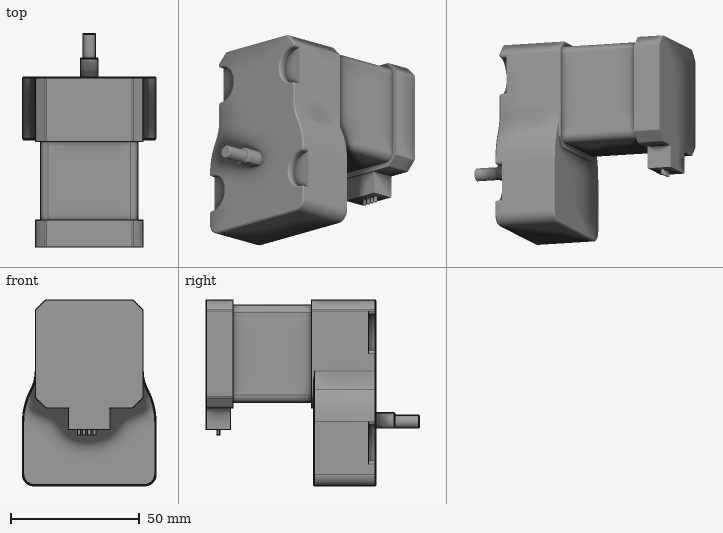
import cadquery as cq
import math


flange_size = 42.0
flange_corner_chamfer = 4.0
flange_corner_radius = 1.0
flange_depth = 25.2
body_size = 38.0
body_corner_radius = 3.0
body_length = 30.5
cap_depth = 10.5

shaft_z = -26.4
housing_radius = 26.0
shaft_to_bottom = 25.0
housing_corner_radius = 4.5
neck_radius = 15.0
housing_depth = 24.5
housing_chamfer = 0.5

recess_radius = 7.1
recess_mouth_radius = 1.0
recess_depth = 3.0
recess_upper_z = 8.3
recess_spacing = 43.0

shoulder_diameter = 7.0
shoulder_length = 7.3
shaft_diameter = 5.0
shaft_length = 9.5
shaft_chamfer = 0.3

connector_width = 16.0
connector_depth = 9.5
connector_height = 8.5
pin_diameter = 1.2
pin_length = 2.0
pin_pitch = 2.0
pin_count = 4
first_pin_x = -4.0

flange_half = flange_size / 2
housing_bottom_z = shaft_z - shaft_to_bottom
cap_front_y = -flange_depth - body_length
cap_rear_y = cap_front_y - cap_depth


def plane_at(y):
    """Plane at the given Y with local axes X and Z, extruding towards -Y."""
    return cq.Workplane("XZ", origin=(0, y, 0))


def motor_plate(front_y, depth):
    """Square plate with chamfered corners whose edges are softened."""
    plate = plane_at(front_y).rect(flange_size, flange_size).extrude(depth)
    plate = plate.edges("|Y").chamfer(flange_corner_chamfer)
    return plate.edges("|Y").fillet(flange_corner_radius)


def motor_body():
    body = plane_at(-flange_depth).rect(body_size, body_size).extrude(body_length)
    return body.edges("|Y").fillet(body_corner_radius)


def arc_point(center, radius, angle):
    return (center[0] + radius * math.cos(angle), center[1] + radius * math.sin(angle))


def mirrored(point):
    return (-point[0], point[1])


def gear_housing():
    """Rounded housing that necks in to the flange width through tangent arcs."""
    neck_x = flange_half + neck_radius
    center_distance = housing_radius + neck_radius
    neck_angle = math.acos(neck_x / center_distance)
    shaft_center = (0, shaft_z)
    neck_center = (neck_x, shaft_z + center_distance * math.sin(neck_angle))

    neck_top = (flange_half, neck_center[1])
    neck_mid = arc_point(neck_center, neck_radius, math.pi + neck_angle / 2)
    tangent = arc_point(shaft_center, housing_radius, neck_angle)
    shoulder_mid = arc_point(shaft_center, housing_radius, neck_angle / 2)
    side_top = (housing_radius, shaft_z)
    bottom_corner = (housing_radius, housing_bottom_z)

    housing = (
        plane_at(0)
        .moveTo(*neck_top)
        .threePointArc(neck_mid, tangent)
        .threePointArc(shoulder_mid, side_top)
        .lineTo(*bottom_corner)
        .lineTo(*mirrored(bottom_corner))
        .lineTo(*mirrored(side_top))
        .threePointArc(mirrored(shoulder_mid), mirrored(tangent))
        .threePointArc(mirrored(neck_mid), mirrored(neck_top))
        .close()
        .extrude(housing_depth)
    )
    bottom_edges = housing.faces("<Z").edges("|Y")
    housing = bottom_edges.fillet(housing_corner_radius)
    return housing.faces("<Y").edges().chamfer(housing_chamfer)


def recess_pair(side_x, center_z):
    """Half-round recesses with rounded mouths, one in each side at X = +-side_x."""
    arc_x = side_x - recess_mouth_radius
    mouth_half = recess_radius + recess_mouth_radius
    recess = (
        plane_at(0)
        .moveTo(side_x, center_z + mouth_half)
        .radiusArc((arc_x, center_z + recess_radius), recess_mouth_radius)
        .threePointArc((arc_x - recess_radius, center_z), (arc_x, center_z - recess_radius))
        .radiusArc((side_x, center_z - mouth_half), recess_mouth_radius)
        .close()
        .extrude(recess_depth)
    )
    return recess.union(recess.mirror("YZ"))


def housing_with_recesses():
    housing = motor_plate(0, flange_depth).union(gear_housing())
    housing = housing.cut(recess_pair(flange_half, recess_upper_z))
    housing = housing.cut(recess_pair(housing_radius, recess_upper_z - recess_spacing))
    return housing.faces(">Y").edges().chamfer(housing_chamfer)


def round_rod(start_y, length, diameter):
    """Rod along +Y on the shaft axis with a chamfered free end."""
    rod = plane_at(start_y).center(0, shaft_z).circle(diameter / 2).extrude(-length)
    return rod.faces(">Y").edges().chamfer(shaft_chamfer)


def output_shaft():
    """Stepped shaft; the shoulder has a flat level with the underside of the tip."""
    shoulder = round_rod(0, shoulder_length, shoulder_diameter)
    flat_z = shaft_z - shaft_diameter / 2
    below_flat = (
        plane_at(0)
        .center(0, flat_z - shoulder_diameter / 2)
        .rect(shoulder_diameter, shoulder_diameter)
        .extrude(-shoulder_length)
    )
    tip = round_rod(shoulder_length, shaft_length, shaft_diameter)
    return shoulder.cut(below_flat).union(tip)


def connector():
    """Connector block flush with the rear of the cap, with a row of pins below."""
    block_bottom_z = -flange_half - connector_height
    center_y = cap_rear_y + connector_depth / 2
    block = (
        cq.Workplane("XY", origin=(0, center_y, block_bottom_z))
        .rect(connector_width, connector_depth)
        .extrude(connector_height)
    )
    pin_places = [(first_pin_x + i * pin_pitch, 0) for i in range(pin_count)]
    pins = (
        cq.Workplane("XY", origin=(0, center_y, block_bottom_z))
        .pushPoints(pin_places)
        .circle(pin_diameter / 2)
        .extrude(-pin_length)
    )
    return block.union(pins)


result = (
    housing_with_recesses()
    .union(motor_body())
    .union(motor_plate(cap_front_y, cap_depth))
    .union(connector())
    .union(output_shaft())
)